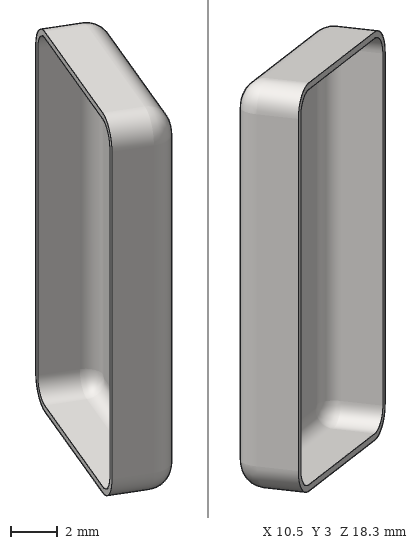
import cadquery as cq

width = 10.5
depth = 3.0
height = 18.3

wall = 0.3
corner_radius = 1.26
edge_radius = 1.1


def rounded_block(inset):
    """Block inset from the outer faces, open face at Y = 0, rounded at the back."""
    block = (
        cq.Workplane("XZ")
        .rect(width - 2 * inset, height - 2 * inset)
        .extrude(-(depth - inset))
    )
    block = block.edges("|Y").fillet(corner_radius - inset)
    return block.faces(">Y").edges().fillet(edge_radius - inset)


outer_body = rounded_block(0)
cavity = rounded_block(wall)

result = outer_body.cut(cavity)